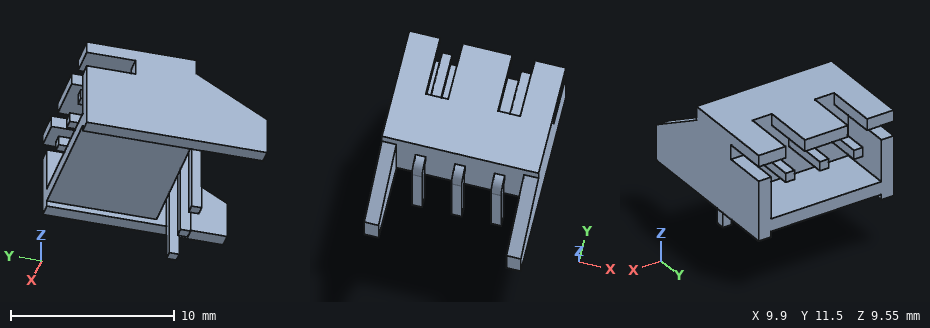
import cadquery as cq

width = 9.9
length = 11.5
height = 9.55
housing_back = 4.51
wall = 0.92
top_wall = 0.82
housing_bottom = 3.8
foot_bottom = 3.4

wing_top = 8.55
wing_tip_top = 5.95

slot_depth = 3.7
slot_width = 1.41
slot_offset = 2.28
side_slot_depth = 3.1
side_slot_height = 1.02

pin_size = 0.64
pin_pitch = 2.5
pin_count = 3
pin_top = 7.45
pin_rear = 3.58
bend_radius = 1.18
pin_recess = 0.23


def block(x_min, x_max, y_min, y_max, z_min, z_max):
    """Axis-aligned box given by its limits."""
    return (
        cq.Workplane("XY")
        .box(x_max - x_min, y_max - y_min, z_max - z_min, centered=False)
        .translate((x_min, y_min, z_min))
    )


def side_plate(x_min):
    """Side wall with its foot and its tapered wing."""
    return (
        cq.Workplane("YZ", origin=(x_min, 0, 0))
        .moveTo(0, foot_bottom)
        .lineTo(length, foot_bottom)
        .lineTo(length, height)
        .lineTo(housing_back, height)
        .lineTo(housing_back, wing_top)
        .lineTo(0, wing_tip_top)
        .close()
        .extrude(wall)
    )


def pin(x_center):
    """Right-angle pin: vertical leg, rounded bend and horizontal contact."""
    bend_y = pin_rear + bend_radius
    bend_z = pin_top - bend_radius
    inner_radius = bend_radius - pin_size
    contact_end = length - pin_recess
    return (
        cq.Workplane("YZ", origin=(x_center, 0, 0))
        .moveTo(pin_rear, 0)
        .lineTo(pin_rear, bend_z)
        .radiusArc((bend_y, pin_top), bend_radius)
        .lineTo(contact_end, pin_top)
        .lineTo(contact_end, pin_top - pin_size)
        .lineTo(bend_y, pin_top - pin_size)
        .radiusArc((bend_y - inner_radius, bend_z), -inner_radius)
        .lineTo(bend_y - inner_radius, 0)
        .close()
        .extrude(pin_size / 2, both=True)
    )


half_width = width / 2
cavity_half_width = half_width - wall
cavity_top = height - top_wall

result = block(-half_width, half_width, housing_back, length, housing_bottom, height)
for plate_x in (-half_width, cavity_half_width):
    result = result.union(side_plate(plate_x))

result = result.cut(
    block(-cavity_half_width, cavity_half_width, length - slot_depth, length,
          housing_bottom + wall, cavity_top)
)

for slot_x in (-slot_offset, slot_offset):
    result = result.cut(
        block(slot_x - slot_width / 2, slot_x + slot_width / 2, length - slot_depth, length,
              cavity_top, height)
    )

result = result.cut(
    block(-half_width, half_width, length - side_slot_depth, length,
          cavity_top - side_slot_height, cavity_top)
)

for index in range(pin_count):
    result = result.union(pin((index - (pin_count - 1) / 2) * pin_pitch))